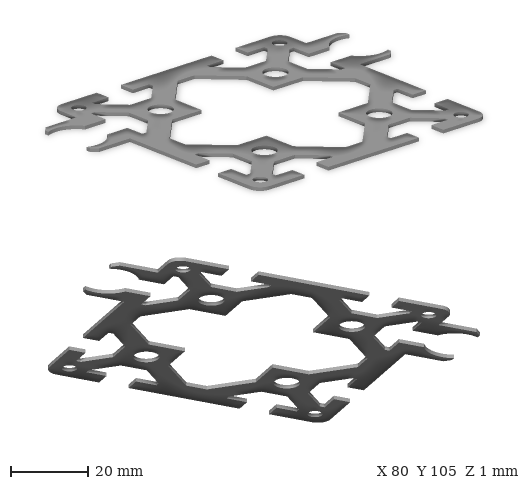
import cadquery as cq

plate_size = 80.0
thickness = 1.0
corner_radius = 3.6
half_plate = plate_size / 2
slot_spacing = plate_size / 2
slot_offset = slot_spacing / 2

slot_opening = 8.4
lip_thickness = 4.6
slot_cavity_width = 20.0
slot_cavity_side = 1.4
slot_floor_width = 7.4
slot_taper = (slot_cavity_width - slot_floor_width) / 2

window_half = 32.3
window_flat_half = 2.9
boss_edge = 12.5
window_bevel = boss_edge - window_flat_half

core_hole_diameter = 6.8
corner_hole_diameter = 4.0
corner_hole_inset = 5.0

overall_length = 105.0
clip_outer_width = 20.6
clip_chamfer = 1.7
clip_bore_radius = 8.0
clip_bore_setback = 3.2
clip_tip = overall_length / 2
clip_bore_y = clip_tip - clip_bore_setback


def cutter(outline):
    """Prism of a closed outline through the full plate thickness."""
    return cq.Workplane("XY").polyline(outline).close().extrude(thickness)


def make_plate():
    plate = cq.Workplane("XY").rect(plate_size, plate_size).extrude(thickness)
    return plate.edges("|Z").fillet(corner_radius)


def make_clip():
    """Clip block on the +Y side; the slot later splits it into two arms."""
    root_y = half_plate - lip_thickness
    block = (
        cq.Workplane("XY")
        .center(-slot_offset, (root_y + clip_tip) / 2)
        .rect(clip_outer_width, clip_tip - root_y)
        .extrude(thickness)
        .edges("|Z and >Y")
        .chamfer(clip_chamfer)
    )
    bore = (
        cq.Workplane("XY")
        .center(-slot_offset, clip_bore_y)
        .circle(clip_bore_radius)
        .extrude(thickness)
    )
    return block.cut(bore)


def make_slot(x):
    """T-slot cutter on the +Y side, centred at x and open past the clip tips."""
    lip_y = half_plate - lip_thickness
    taper_y = lip_y - slot_cavity_side
    floor_y = taper_y - slot_taper
    right_side = [
        (slot_floor_width / 2, floor_y),
        (slot_cavity_width / 2, taper_y),
        (slot_cavity_width / 2, lip_y),
        (slot_opening / 2, lip_y),
        (slot_opening / 2, clip_tip),
    ]
    left_side = [(-dx, y) for dx, y in reversed(right_side)]
    return cutter([(x + dx, y) for dx, y in right_side + left_side])


def make_window():
    """Central opening: a cross with bevelled arm ends."""
    bevel_end = window_half - window_bevel
    arm = [
        (boss_edge, boss_edge),
        (boss_edge, bevel_end),
        (window_flat_half, window_half),
        (-window_flat_half, window_half),
        (-boss_edge, bevel_end),
        (-boss_edge, boss_edge),
    ]
    mirrored_arm = [(-x, -y) for x, y in arm]
    vertical_arm = cutter(arm + mirrored_arm)
    horizontal_arm = vertical_arm.rotate((0, 0, 0), (0, 0, 1), 90)
    return vertical_arm.union(horizontal_arm)


def make_holes(spacing, diameter):
    """Four through holes on a square pattern."""
    return (
        cq.Workplane("XY")
        .rarray(spacing, spacing, 2, 2)
        .circle(diameter / 2)
        .extrude(thickness)
    )


clip = make_clip()
result = make_plate().union(clip).union(clip.mirror("XZ"))

for quarter_turn in range(4):
    for slot_x in (-slot_offset, slot_offset):
        slot = make_slot(slot_x)
        result = result.cut(slot.rotate((0, 0, 0), (0, 0, 1), 90 * quarter_turn))

result = result.cut(make_window())
result = result.cut(make_holes(slot_spacing, core_hole_diameter))
result = result.cut(make_holes(plate_size - 2 * corner_hole_inset, corner_hole_diameter))